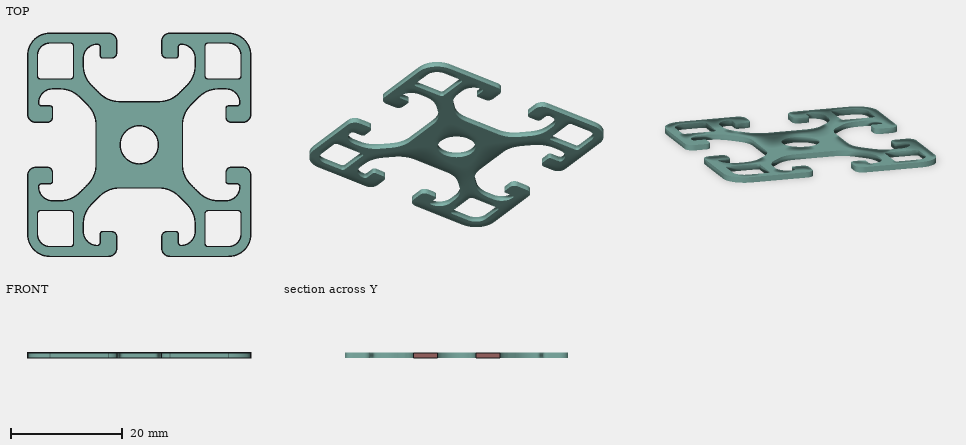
import cadquery as cq
import math

side = 40.0
thickness = 1.0
half_side = side / 2
corner_radius = 4.0
wall = 1.8
bore_diameter = 6.8

mouth_half_width = 4.0
lip_inner_x = 7.0
lip_depth = 4.5
cavity_half_width = 10.0
floor_y = 7.75
web_thickness = 3.0
bend_radius = 5.0
hook_depth = 2.0
hook_radius = 2.5
hook_fillet = 0.5

lip_outer_radius = 1.5
lip_lower_radius = 1.0
lip_inner_radius = 0.5

pocket_inner = cavity_half_width + wall
pocket_outer = half_side - wall
pocket_outer_radius = corner_radius - wall
pocket_radius = 0.5

lip_bottom_y = half_side - lip_depth
hook_center_x = cavity_half_width - hook_radius
hook_top_y = half_side - hook_depth
web_offset = web_thickness / math.sqrt(2)
floor_corner = (floor_y - web_offset, floor_y)
bevel_corner = (cavity_half_width, cavity_half_width + web_offset)

quarter_turns = (0, 90, 180, 270)


def round_corners(body, points, radius):
    """Fillet the vertical edges that stand at the given XY points."""
    reach = 0.05
    for x, y in points:
        low = (x - reach, y - reach, -reach)
        high = (x + reach, y + reach, thickness + reach)
        body = body.edges("|Z").edges(cq.selectors.BoxSelector(low, high)).fillet(radius)
    return body


def both_sides(*points):
    """Return the points together with their mirror images about the Y axis."""
    return [(sign * x, y) for x, y in points for sign in (1, -1)]


def make_slot():
    """Half slot outline with its hooked undercut, mirrored and bent smooth."""
    half = (
        cq.Workplane("XY")
        .moveTo(0, floor_y)
        .lineTo(*floor_corner)
        .lineTo(*bevel_corner)
        .lineTo(cavity_half_width, hook_top_y - hook_radius)
        .tangentArcPoint((hook_center_x, hook_top_y), relative=False)
        .tangentArcPoint((lip_inner_x, hook_top_y - hook_fillet), relative=False)
        .lineTo(lip_inner_x, lip_bottom_y)
        .lineTo(mouth_half_width, lip_bottom_y)
        .lineTo(mouth_half_width, half_side)
        .lineTo(0, half_side)
        .close()
        .extrude(thickness)
    )
    slot = half.union(half.mirror("YZ")).clean()
    slot = round_corners(slot, both_sides(floor_corner, bevel_corner), bend_radius)
    slot = round_corners(slot, both_sides((lip_inner_x, lip_bottom_y)), lip_inner_radius)
    return round_corners(slot, both_sides((mouth_half_width, lip_bottom_y)), lip_lower_radius)


def make_pocket():
    """Square pocket in the +X +Y corner, its outer corner following the plate corner."""
    size = pocket_outer - pocket_inner
    center = (pocket_outer + pocket_inner) / 2
    pocket = cq.Workplane("XY").center(center, center).rect(size, size).extrude(thickness)
    pocket = round_corners(pocket, [(pocket_outer, pocket_outer)], pocket_outer_radius)
    small_corners = [
        (pocket_inner, pocket_inner),
        (pocket_inner, pocket_outer),
        (pocket_outer, pocket_inner),
    ]
    return round_corners(pocket, small_corners, pocket_radius)


plate = (
    cq.Workplane("XY")
    .rect(side, side)
    .extrude(thickness)
    .edges("|Z")
    .fillet(corner_radius)
    .cut(cq.Workplane("XY").circle(bore_diameter / 2).extrude(thickness))
)

slot = make_slot()
pocket = make_pocket()
for angle in quarter_turns:
    plate = plate.cut(slot.rotate((0, 0, 0), (0, 0, 1), angle))
    plate = plate.cut(pocket.rotate((0, 0, 0), (0, 0, 1), angle))

mouth_corners = both_sides((mouth_half_width, half_side), (mouth_half_width, -half_side))
mouth_corners += [(y, x) for x, y in mouth_corners]
result = round_corners(plate, mouth_corners, lip_outer_radius)